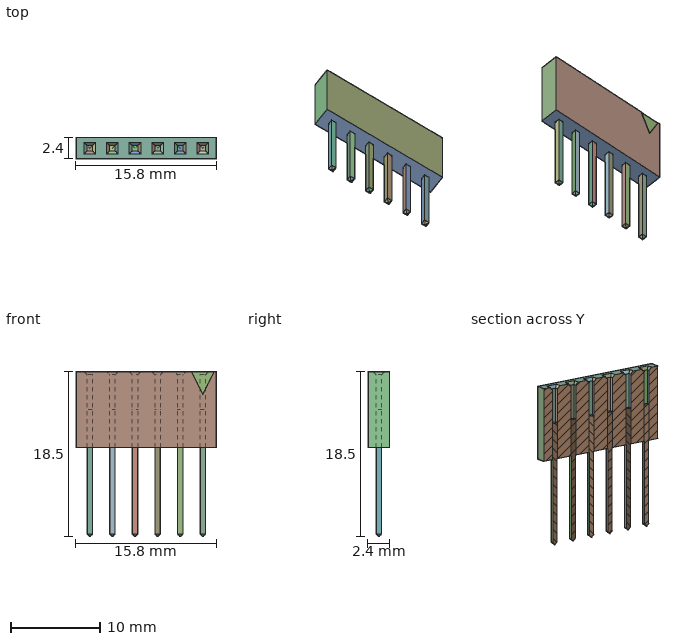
import cadquery as cq

HOUSING_LENGTH = 15.75
HOUSING_WIDTH = 2.4
HOUSING_HEIGHT = 8.51
FRONT_Y = -HOUSING_WIDTH / 2

CONTACT_COUNT = 6
PITCH = 2.54
FIRST_X = -PITCH * (CONTACT_COUNT - 1) / 2
CONTACT_XS = [FIRST_X + i * PITCH for i in range(CONTACT_COUNT)]

PIN_SIZE = 0.63
OVERALL_HEIGHT = 18.51
PIN_BOTTOM_Z = HOUSING_HEIGHT - OVERALL_HEIGHT
PIN_TOP_Z = HOUSING_HEIGHT / 2
POINT_HEIGHT = 0.3
TIP_SIZE = PIN_SIZE - 2 * POINT_HEIGHT

MOUTH_SIZE = 1.3
FUNNEL_DEPTH = (MOUTH_SIZE - PIN_SIZE) / 2

MARK_WIDTH = PITCH
MARK_HEIGHT = MARK_WIDTH
MARK_DEPTH = 0.05


def tapered_block(x, bottom_z, bottom_size, top_z, top_size):
    """Square frustum on the row centreline between two heights."""
    return (
        cq.Workplane("XY", origin=(x, 0, bottom_z))
        .rect(bottom_size, bottom_size)
        .workplane(offset=top_z - bottom_z)
        .rect(top_size, top_size)
        .loft(ruled=True)
    )


def contact_bar(x, bottom_z, top_z):
    """Straight bar with the pin cross-section."""
    return (
        cq.Workplane("XY", origin=(x, 0, bottom_z))
        .rect(PIN_SIZE, PIN_SIZE)
        .extrude(top_z - bottom_z)
    )


def make_contact_cavity(x):
    """Through channel for one pin, opening into a funnel at the top."""
    channel = contact_bar(x, 0, HOUSING_HEIGHT)
    funnel_floor_z = HOUSING_HEIGHT - FUNNEL_DEPTH
    funnel = tapered_block(x, funnel_floor_z, PIN_SIZE, HOUSING_HEIGHT, MOUTH_SIZE)
    return channel.union(funnel)


def make_mark():
    """Triangular recess in the front face, pointing down from the top edge."""
    mark_x = CONTACT_XS[-1]
    return (
        cq.Workplane("XZ", origin=(mark_x, FRONT_Y + MARK_DEPTH, HOUSING_HEIGHT))
        .polyline([(-MARK_WIDTH / 2, 0), (MARK_WIDTH / 2, 0), (0, -MARK_HEIGHT)])
        .close()
        .extrude(MARK_DEPTH)
    )


def make_housing():
    body = cq.Workplane("XY").box(
        HOUSING_LENGTH, HOUSING_WIDTH, HOUSING_HEIGHT, centered=(True, True, False)
    )
    for x in CONTACT_XS:
        body = body.cut(make_contact_cavity(x))
    return body.cut(make_mark())


def make_pin(x):
    """Pin seated in its channel, ending in a truncated pyramid point."""
    shoulder_z = PIN_BOTTOM_Z + POINT_HEIGHT
    shank = contact_bar(x, shoulder_z, PIN_TOP_Z)
    point = tapered_block(x, PIN_BOTTOM_Z, TIP_SIZE, shoulder_z, PIN_SIZE)
    return shank.union(point)


housing = make_housing()
pins = [make_pin(x) for x in CONTACT_XS]

result = cq.Compound.makeCompound([housing.val(), *[pin.val() for pin in pins]])